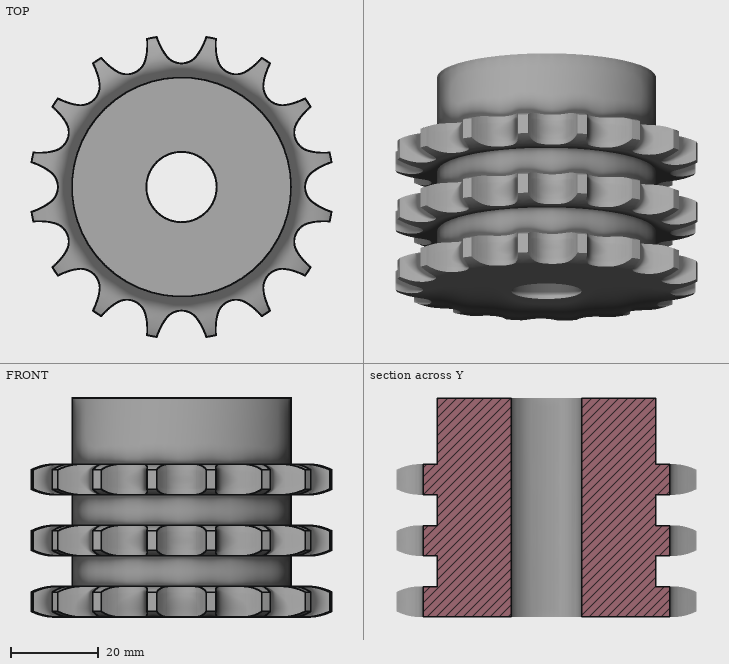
import cadquery as cq
import math


chain_pitch = 12.7
roller_diameter = 8.51
strand_spacing = 13.95

tooth_count = 16
strand_count = 3
tooth_width = 7.0
tip_diameter = 69.45
side_relief_radius = 13.0
side_relief_depth = 1.3

hub_diameter = 50.0
hub_length = 50.0
bore_diameter = 16.0

seating_factor = 0.5025
seating_clearance = 0.038
seating_end_angle = 35 + 60 / tooth_count
working_angle = 18 - 56 / tooth_count
topping_angle = 17 - 64 / tooth_count
working_centre_distance = 0.8 * roller_diameter
topping_centre_distance = 1.4 * roller_diameter

working_turn = math.radians(working_angle)
topping_turn = math.radians(topping_angle)
seating_radius = seating_factor * roller_diameter + seating_clearance
working_radius = seating_radius + working_centre_distance
straight_length = (
    topping_centre_distance * math.sin(topping_turn) - working_centre_distance * math.sin(working_turn)
)
topping_radius = (
    working_centre_distance * math.cos(working_turn)
    + topping_centre_distance * math.cos(topping_turn)
    - working_radius
)

tooth_angle = 360 / tooth_count
pitch_radius = chain_pitch / 2 / math.sin(math.pi / tooth_count)
root_radius = pitch_radius - seating_radius
tip_radius = tip_diameter / 2
relief_length = math.sqrt(side_relief_radius**2 - (side_relief_radius - side_relief_depth) ** 2)
relief_start_radius = tip_radius - relief_length


def arc_offset(radius, start_angle, end_angle):
    """Move along an arc whose tangent turns between two angles from the gap centre line (+Y)."""
    start = math.radians(start_angle)
    end = math.radians(end_angle)
    side = radius * abs(math.cos(end) - math.cos(start))
    rise = radius * abs(math.sin(start) - math.sin(end))
    return side, rise


def gap_half_points():
    """Points up the +X side of a gap: joints of the form, with a mid-point for each arc."""
    flank_angle = seating_end_angle - working_angle
    straight = math.radians(flank_angle)
    straight_step = (straight_length * math.sin(straight), straight_length * math.cos(straight))
    seating_middle = (90 + seating_end_angle) / 2
    working_middle = (seating_end_angle + flank_angle) / 2
    topping_middle = flank_angle / 2
    steps = [
        arc_offset(seating_radius, 90, seating_middle),
        arc_offset(seating_radius, seating_middle, seating_end_angle),
        arc_offset(working_radius, seating_end_angle, working_middle),
        arc_offset(working_radius, working_middle, flank_angle),
        straight_step,
        arc_offset(topping_radius, flank_angle, topping_middle),
        arc_offset(topping_radius, topping_middle, 0),
    ]
    points = [(0, root_radius)]
    for side, rise in steps:
        x, y = points[-1]
        points.append((x + side, y + rise))
    return points


def make_gap_cutter():
    """Prism of one tooth gap; the topping arcs end beyond the tooth tips."""
    right = gap_half_points()
    left = [(-x, y) for x, y in right]
    return (
        cq.Workplane("XY")
        .moveTo(*right[0])
        .threePointArc(right[1], right[2])
        .threePointArc(right[3], right[4])
        .lineTo(*right[5])
        .threePointArc(right[6], right[7])
        .lineTo(*left[7])
        .threePointArc(left[6], left[5])
        .lineTo(*left[4])
        .threePointArc(left[3], left[2])
        .threePointArc(left[1], left[0])
        .close()
        .extrude(tooth_width)
    )


def make_blank():
    """Toothless disc with both sides rounded towards the tip."""
    tip_bottom = side_relief_depth
    tip_top = tooth_width - side_relief_depth
    middle_angle = math.asin(relief_length / side_relief_radius) / 2
    relief_middle_radius = relief_start_radius + side_relief_radius * math.sin(middle_angle)
    relief_middle_depth = side_relief_radius * (1 - math.cos(middle_angle))
    return (
        cq.Workplane("XZ")
        .lineTo(relief_start_radius, 0)
        .threePointArc((relief_middle_radius, relief_middle_depth), (tip_radius, tip_bottom))
        .lineTo(tip_radius, tip_top)
        .threePointArc(
            (relief_middle_radius, tooth_width - relief_middle_depth),
            (relief_start_radius, tooth_width),
        )
        .lineTo(0, tooth_width)
        .close()
        .revolve(360, (0, 0, 0), (0, 1, 0))
    )


def make_toothed_disc():
    disc = make_blank()
    cutter = make_gap_cutter()
    for index in range(tooth_count):
        disc = disc.cut(cutter.rotate((0, 0, 0), (0, 0, 1), index * tooth_angle))
    return disc


def make_sprocket():
    sprocket = cq.Workplane("XY").circle(hub_diameter / 2).extrude(hub_length)
    disc = make_toothed_disc()
    for index in range(strand_count):
        sprocket = sprocket.union(disc.translate((0, 0, index * strand_spacing)))
    bore = cq.Workplane("XY").circle(bore_diameter / 2).extrude(hub_length)
    return sprocket.cut(bore)


result = make_sprocket()